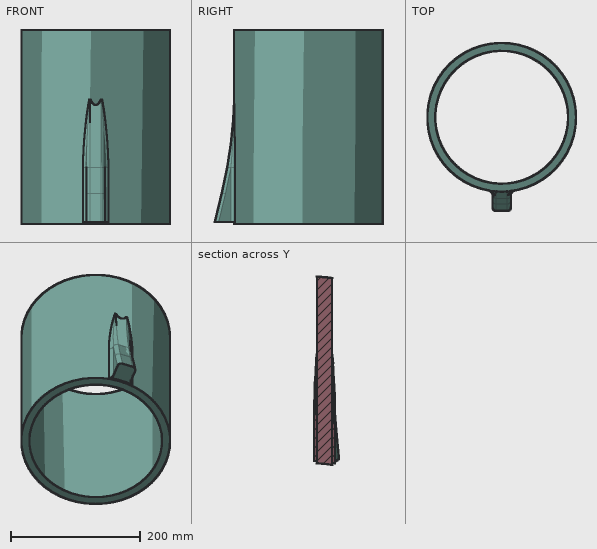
import cadquery as cq
import math

TUBE_HEIGHT = 300.0
OUTER_RADIUS = 230.0 / 2
INNER_RADIUS = 205.0 / 2

FIN_WIDTH = 28.8
FIN_BOTTOM = 3.0
FIN_REACH = 144.75
CREST_ROUND = 6.0
FOOT_FILLET = 6.3
EMBED_DEPTH = 12.0

KNEE_HEIGHT = 47.5
CREST_TOP = 184.0
CREST_SLOPE = math.radians(13.6)
FIN_TOP_MARGIN = 1.0
BLEND_STEPS = 6

HALF_WIDTH = FIN_WIDTH / 2
HALF_CREST = HALF_WIDTH - CREST_ROUND
BACK_REACH = OUTER_RADIUS - EMBED_DEPTH

KNEE_REACH = FIN_REACH - (KNEE_HEIGHT - FIN_BOTTOM) * math.tan(CREST_SLOPE)
CHORD_RISE = CREST_TOP - KNEE_HEIGHT
CHORD_FALL = KNEE_REACH - OUTER_RADIUS
CHORD_SLOPE = math.atan2(CHORD_FALL, CHORD_RISE)
ARC_RADIUS = math.hypot(CHORD_RISE, CHORD_FALL) / (2 * math.sin(CREST_SLOPE - CHORD_SLOPE))
ARC_CENTER_HEIGHT = KNEE_HEIGHT + ARC_RADIUS * math.sin(CREST_SLOPE)
ARC_CENTER_REACH = KNEE_REACH + ARC_RADIUS * math.cos(CREST_SLOPE)

FOOT_ORBIT = OUTER_RADIUS + FOOT_FILLET
FOOT_CENTER_X = HALF_WIDTH + FOOT_FILLET
FOOT_CENTER_REACH = math.sqrt(FOOT_ORBIT**2 - FOOT_CENTER_X**2)


def crest_reach(height):
    """Distance of the crest in -Y from the tube axis at a height above the tip."""
    if height <= KNEE_HEIGHT:
        return FIN_REACH - (height - FIN_BOTTOM) * math.tan(CREST_SLOPE)
    return ARC_CENTER_REACH - math.sqrt(ARC_RADIUS**2 - (ARC_CENTER_HEIGHT - height) ** 2)


def arc_height(reach):
    """Height at which the curved stretch of the crest has the given reach."""
    return ARC_CENTER_HEIGHT - math.sqrt(ARC_RADIUS**2 - (ARC_CENTER_REACH - reach) ** 2)


WALL_TOP = arc_height(FOOT_CENTER_REACH + CREST_ROUND)
FIN_TOP = arc_height(math.sqrt(OUTER_RADIUS**2 - HALF_CREST**2)) - FIN_TOP_MARGIN


def point_on_circle(center, radius, angle):
    return (center[0] + radius * math.cos(angle), center[1] + radius * math.sin(angle))


def mirrored(point):
    return (-point[0], point[1])


def walled_section(height):
    """Cross-section with straight side walls and a rounded crest."""
    reach = crest_reach(height)
    shoulder = (HALF_WIDTH, CREST_ROUND - reach)
    crest = (HALF_CREST, -reach)
    middle = point_on_circle((HALF_CREST, CREST_ROUND - reach), CREST_ROUND, -math.pi / 4)
    return (
        cq.Workplane("XY", origin=(0, 0, height))
        .moveTo(HALF_WIDTH, -BACK_REACH)
        .lineTo(*shoulder)
        .threePointArc(middle, crest)
        .lineTo(*mirrored(crest))
        .threePointArc(mirrored(middle), mirrored(shoulder))
        .lineTo(-HALF_WIDTH, -BACK_REACH)
        .close()
        .val()
    )


def blended_section(height):
    """Cross-section whose crest rounds pass tangentially into the foot fillets."""
    reach = crest_reach(height)
    round_center = (HALF_CREST, CREST_ROUND - reach)
    spacing = CREST_ROUND + FOOT_FILLET
    distance = math.hypot(*round_center)
    swing = math.acos((distance**2 + FOOT_ORBIT**2 - spacing**2) / (2 * distance * FOOT_ORBIT))
    foot_angle = math.atan2(round_center[1], round_center[0]) + swing
    foot_center = point_on_circle((0, 0), FOOT_ORBIT, foot_angle)

    join_angle = math.atan2(foot_center[1] - round_center[1], foot_center[0] - round_center[0])
    crest = (HALF_CREST, -reach)
    round_middle = point_on_circle(round_center, CREST_ROUND, (join_angle - math.pi / 2) / 2)
    join = point_on_circle(round_center, CREST_ROUND, join_angle)
    foot_middle = point_on_circle(foot_center, FOOT_FILLET, (join_angle + foot_angle) / 2 + math.pi)
    toe = point_on_circle((0, 0), OUTER_RADIUS, foot_angle)
    return (
        cq.Workplane("XY", origin=(0, 0, height))
        .moveTo(toe[0], -BACK_REACH)
        .lineTo(*toe)
        .threePointArc(foot_middle, join)
        .threePointArc(round_middle, crest)
        .lineTo(*mirrored(crest))
        .threePointArc(mirrored(round_middle), mirrored(join))
        .threePointArc(mirrored(foot_middle), mirrored(toe))
        .lineTo(-toe[0], -BACK_REACH)
        .close()
        .val()
    )


def make_foot():
    """Constant cross-section of both foot fillets below the top of the side walls."""
    foot_center = (FOOT_CENTER_X, -FOOT_CENTER_REACH)
    foot_angle = math.atan2(foot_center[1], foot_center[0])
    toe = point_on_circle((0, 0), OUTER_RADIUS, foot_angle)
    wall = (HALF_WIDTH, -FOOT_CENTER_REACH)
    middle = point_on_circle(foot_center, FOOT_FILLET, foot_angle / 2 + math.pi)
    return (
        cq.Workplane("XY", origin=(0, 0, FIN_BOTTOM))
        .moveTo(toe[0], -BACK_REACH)
        .lineTo(*toe)
        .threePointArc(middle, wall)
        .lineTo(*mirrored(wall))
        .threePointArc(mirrored(middle), mirrored(toe))
        .lineTo(-toe[0], -BACK_REACH)
        .close()
        .extrude(WALL_TOP - FIN_BOTTOM)
    )


def loft_between(section, bottom, top, steps):
    heights = [bottom + (top - bottom) * step / steps for step in range(steps + 1)]
    return cq.Workplane(cq.Solid.makeLoft([section(height) for height in heights]))


def make_tube():
    return cq.Workplane("XY").circle(OUTER_RADIUS).circle(INNER_RADIUS).extrude(TUBE_HEIGHT)


def make_fin():
    tip = loft_between(walled_section, FIN_BOTTOM, KNEE_HEIGHT, 1)
    curved_wall = loft_between(walled_section, KNEE_HEIGHT, WALL_TOP, 2)
    blend = loft_between(blended_section, WALL_TOP, FIN_TOP, BLEND_STEPS)
    blank = tip.union(curved_wall).union(make_foot()).union(blend)
    tube_envelope = cq.Workplane("XY").circle(OUTER_RADIUS).extrude(TUBE_HEIGHT)
    return blank.cut(tube_envelope)


tube = make_tube()
fin = make_fin()
result = cq.Compound.makeCompound([tube.val(), *fin.vals()])